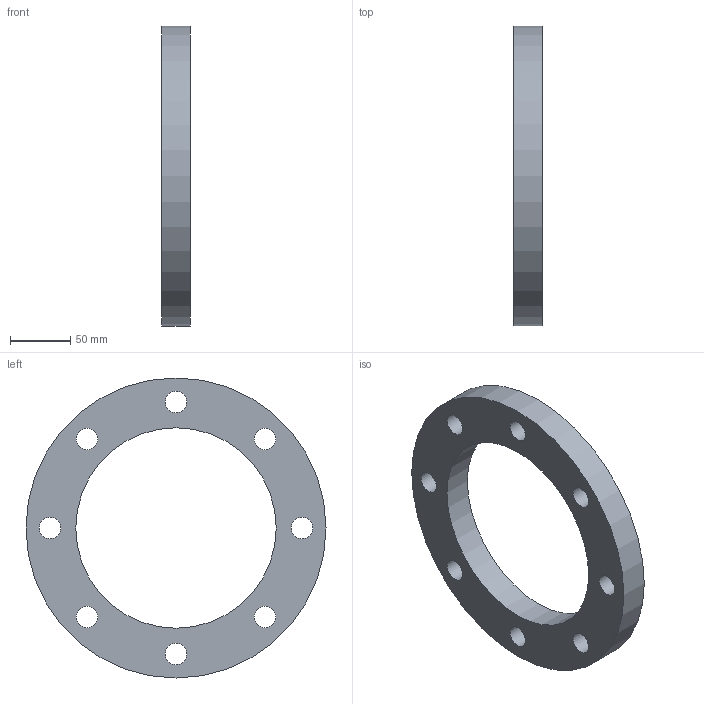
import cadquery as cq

thickness = 24.0
outer_diameter = 250.0
bore_diameter = 167.0

bolt_circle_diameter = 210.0
bolt_hole_diameter = 18.0
bolt_hole_count = 8


def make_ring():
    """Plain ring from X = 0 to X = thickness."""
    return (
        cq.Workplane("YZ")
        .circle(outer_diameter / 2)
        .circle(bore_diameter / 2)
        .extrude(thickness)
    )


def make_bolt_holes():
    """Cylinders to be removed for the bolt holes."""
    return (
        cq.Workplane("YZ")
        .polarArray(bolt_circle_diameter / 2, 0, 360, bolt_hole_count)
        .circle(bolt_hole_diameter / 2)
        .extrude(thickness)
    )


result = make_ring().cut(make_bolt_holes())